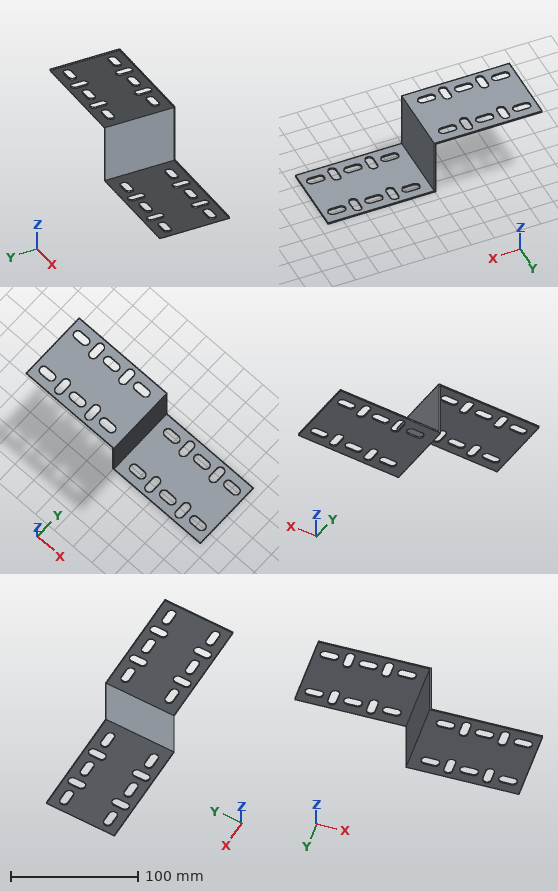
import cadquery as cq

length = 185.0
width = 62.0
height = 51.5
thickness = 1.5

slot_length = 15.0
slot_width = 7.0
row_spacing = 40.0
slots_per_row = 5
row_length = 64.0
end_margin = 12.5
slot_pitch = row_length / (slots_per_row - 1)

half_length = length / 2
web_half = thickness / 2
upper_z = height - thickness


def plate(x_min, x_max, z_min, z_max):
    """Full-width rectangular plate, centred on Y."""
    size_x = x_max - x_min
    size_z = z_max - z_min
    centre = ((x_min + x_max) / 2, 0, z_min)
    return cq.Workplane("XY").box(size_x, width, size_z, centered=(True, True, False)).translate(centre)


def flange_slots(first_x, z_min):
    """Cutters for both slot rows of one flange, starting at first_x."""
    cutters = cq.Workplane("XY")
    for index in range(slots_per_row):
        angle = 90 * (index % 2)
        x = first_x + index * slot_pitch
        slots = (
            cq.Workplane("XY", origin=(0, 0, z_min))
            .pushPoints([(x, -row_spacing / 2), (x, row_spacing / 2)])
            .slot2D(slot_length, slot_width, angle)
            .extrude(thickness)
        )
        cutters = cutters.add(slots)
    return cutters.combine()


upper_flange = plate(-half_length, web_half, upper_z, height)
lower_flange = plate(-web_half, half_length, 0, thickness)
web = plate(-web_half, web_half, 0, height)
bracket = upper_flange.union(web).union(lower_flange)

upper_slots = flange_slots(-half_length + end_margin, upper_z)
lower_slots = flange_slots(half_length - end_margin - row_length, 0)

result = bracket.cut(upper_slots).cut(lower_slots)